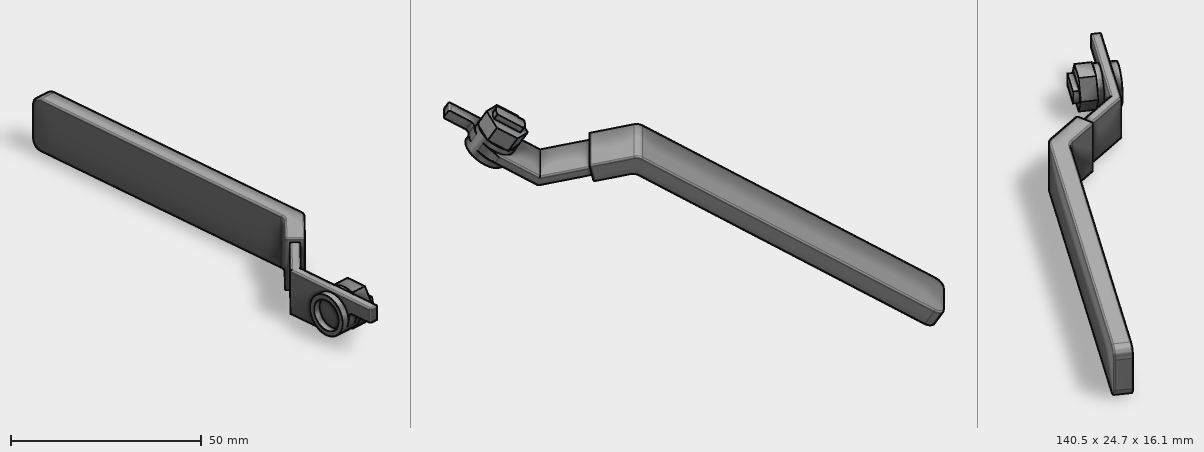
import cadquery as cq
import math

length = 140.5
depth = 24.7

bar_thickness = 2.8
bar_width = 13.5
bar_edge_round = 0.5
bend_angle = math.radians(45)
bar_bend_x = 111.8

grip_wall = 1.3
grip_thickness = bar_thickness + 2 * grip_wall
grip_width = bar_width + 2 * grip_wall
grip_bend_round = 3.0
grip_corner_round = 3.1
grip_edge_round = 0.5
grip_slope_length = 12.2

pivot_x = 126.5
bushing_diameter = 12.0
front_rim_height = 2.1
back_rim_height = 1.7
stud_diameter = 9.0
stud_across_flats = 4.0
stud_end_height = 1.7
nut_height = 4.6
nut_across_flats = 11.0

bar_end_x = 132.8
bar_corner_round = 8.0
tab_bottom_z = 2.4
tab_root_round = 1.0

bar_front_y = front_rim_height
bar_back_y = bar_front_y + bar_thickness
nut_front_y = bar_back_y + back_rim_height
nut_back_y = nut_front_y + nut_height
stud_end_y = nut_back_y + stud_end_height

bar_mid_y = (bar_front_y + bar_back_y) / 2
grip_mid_y = depth - grip_thickness / 2
grip_bend_x = bar_bend_x - (grip_mid_y - bar_mid_y) / math.tan(bend_angle)
grip_bend = (grip_bend_x, grip_mid_y)
bar_bend = (bar_bend_x, bar_mid_y)


def along_slope(distance, offset=0.0):
    """Point on the sloped run: distance past the grip bend, offset towards the back face."""
    return (
        grip_bend_x + distance * math.cos(bend_angle) + offset * math.sin(bend_angle),
        grip_mid_y - distance * math.sin(bend_angle) + offset * math.cos(bend_angle),
    )


def bend_corner(bend, offset):
    """Sharp corner of the bent outline at an offset from the centre line."""
    return (bend[0] + offset * math.tan(bend_angle / 2), bend[1] + offset)


def make_grip():
    half = grip_thickness / 2
    outline = [
        (0, grip_mid_y - half),
        bend_corner(grip_bend, -half),
        along_slope(grip_slope_length, -half),
        along_slope(grip_slope_length, half),
        bend_corner(grip_bend, half),
        (0, grip_mid_y + half),
    ]
    grip = cq.Workplane("XY").polyline(outline).close().extrude(grip_width / 2, both=True)
    bend_zone = cq.selectors.BoxSelector(
        (grip_bend_x - half, grip_mid_y - grip_thickness, -grip_width),
        (grip_bend_x + half, grip_mid_y + grip_thickness, grip_width),
    )
    grip = grip.edges("|Z").edges(bend_zone).fillet(grip_bend_round)
    grip = grip.edges("|Y").edges("<X").fillet(grip_corner_round)
    front_and_back = grip.faces("|Y").edges()
    slope_direction = cq.Vector(math.cos(bend_angle), -math.sin(bend_angle), 0)
    end_rim = grip.faces(cq.selectors.DirectionMinMaxSelector(slope_direction, True)).edges()
    return front_and_back.add(end_rim).fillet(grip_edge_round)


def make_tab_cutout():
    """Material removed below the stop tab, leaving a rounded lower corner on the bar."""
    bottom_z = -bar_width / 2
    return (
        cq.Workplane("XZ")
        .moveTo(bar_end_x - bar_corner_round, bottom_z)
        .radiusArc((bar_end_x, bottom_z + bar_corner_round), -bar_corner_round)
        .lineTo(bar_end_x, tab_bottom_z - tab_root_round)
        .radiusArc((bar_end_x + tab_root_round, tab_bottom_z), tab_root_round)
        .lineTo(length, tab_bottom_z)
        .lineTo(length, bottom_z)
        .close()
        .extrude(-depth)
    )


def make_bar():
    half = bar_thickness / 2
    outline = [
        along_slope(0, -half),
        bend_corner(bar_bend, -half),
        (length, bar_front_y),
        (length, bar_back_y),
        bend_corner(bar_bend, half),
        along_slope(0, half),
    ]
    strip = cq.Workplane("XY").polyline(outline).close().extrude(bar_width / 2, both=True)
    strip = strip.edges("(not |Z) or >X").fillet(bar_edge_round)
    return strip.cut(make_tab_cutout())


def disc(diameter, y_start, y_end):
    """Cylinder on the pivot axis between two Y levels."""
    plane = cq.Workplane("XZ", origin=(pivot_x, y_start, 0))
    return plane.circle(diameter / 2).extrude(y_start - y_end)


def make_nut():
    plane = cq.Workplane("XZ", origin=(pivot_x, nut_front_y, 0))
    across_corners = nut_across_flats / math.cos(math.radians(30))
    return plane.polygon(6, across_corners).extrude(-nut_height)


def make_stud_end():
    round_stud = disc(stud_diameter, nut_back_y, stud_end_y)
    flats = cq.Workplane("XZ", origin=(pivot_x, nut_back_y, 0))
    return round_stud.intersect(flats.rect(stud_diameter, stud_across_flats).extrude(-stud_end_height))


result = (
    make_grip()
    .union(make_bar())
    .union(disc(bushing_diameter, 0, nut_front_y))
    .union(make_nut())
    .union(make_stud_end())
    .cut(disc(stud_diameter, 0, front_rim_height))
)